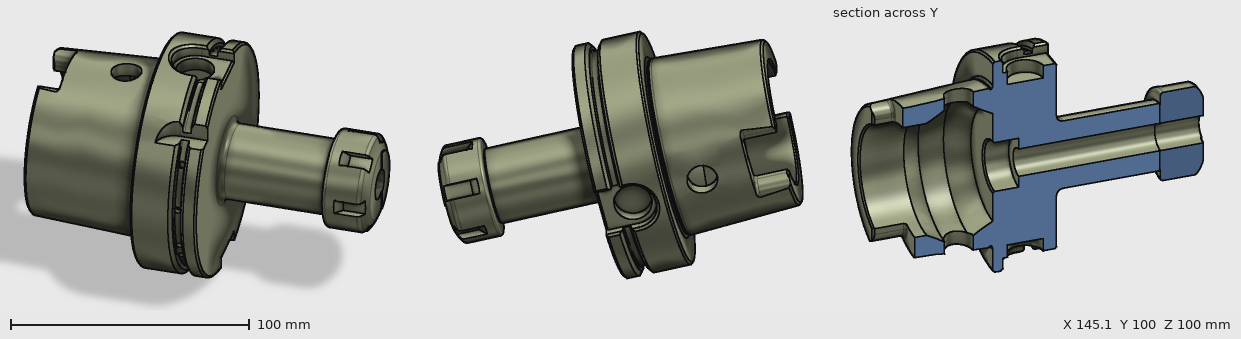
import cadquery as cq
import math

FLANGE_FACE_X = 50.0
FLANGE_BACK_X = 78.8
NUT_BACK_X = 125.2

TAPER_END_X = 47.5
TAPER_END_R = 37.9
TAPER_RATIO = 20.0
SHANK_CHAMFER = 1.0
RELIEF_START_X = 48.5
RELIEF_R = 37.3
RELIEF_BOTTOM_X = (48.9, 49.5)
FLANGE_RECESS_R = 38.9

BORE_R = 26.4
BORE_CHAMFER = 0.7
BORE_LIP_X = 20.3
CHAMBER_R = 31.2
CHAMBER_SHOULDER_ANGLE = math.radians(30.0)
CHAMBER_FLOOR_R = 25.4
CHAMBER_FLOOR_X = FLANGE_FACE_X
COOLANT_BORE_R = 11.5
COOLANT_BORE_DEPTH = 11.6
COOLANT_BORE_CHAMFER = 0.7
THROUGH_BORE_R = 6.4

CROSS_HOLE_X = 34.8
CROSS_HOLE_R = 6.4

END_SLOT_HALF_WIDTH = 9.9
END_SLOT_ROUND_R = 5.2
END_SLOT_ROUND_Z = 27.1
END_SLOT_FLOOR_FILLET = 1.3
END_SLOT_MOUTH_CHAMFER = (0.9, 1.3)
TOP_END_SLOT_DEPTH = 9.6
BOTTOM_END_SLOT_DEPTH = 15.0

FLANGE_R = 49.99
FLANGE_CHAMFER = 0.9

GROOVE_FLOOR_R = 46.1
GROOVE_WALL_X = (68.0, 71.7)
GROOVE_BEVEL_WIDTH = 1.5
GROOVE_BEVEL_DEPTH = 1.9
GROOVE_FLOOR_FILLET = 0.6

KEY_SLOT_HALF_WIDTH = 10.0
KEY_SLOT_CENTER_X = 64.7
KEY_SLOT_FLOOR_Z = 44.0
KEY_SLOT_CHAMFER = 1.2
KEY_SLOT_EXIT_CHAMFER = 0.9
KEY_POCKET_R = 8.0
KEY_POCKET_DEPTH = 5.8

NOTCH_OFFSET = 31.5
NOTCH_END_R = 8.7
NOTCH_END_CENTER_X = 66.6

GROOVE_HOLE_R = 1.5
GROOVE_HOLE_DEPTH = 2.9
GROOVE_HOLE_ANGLES = (30.0, 5.0, -20.0, -30.0)

NECK_R = 16.1
NECK_FILLET = 2.9
NECK_END_CHAMFER = 0.6

NUT_FACE_X = 144.7
NUT_END_X = 145.1
NUT_R = 21.0
NUT_BACK_ROUND = 1.5
NUT_FRONT_ROUND_X = 140.3
NUT_FRONT_ROUND_R = 2.2
NUT_FRONT_ROUND_ANGLE = math.radians(53.0)
NUT_FACE_R = 15.0
NUT_LIP_R = 14.7
NUT_LIP_START_Y = 3.0

WRENCH_SLOT_COUNT = 6
WRENCH_SLOT_WIDTH = 6.4
WRENCH_SLOT_FLOOR_R = 17.7
FRONT_SLOT_START_X = 130.6
REAR_SLOT_START_X = 128.7

CLEARANCE = 7.3


def revolve_about_x(profile):
    """Turn a closed XY outline into a solid of revolution about the X axis."""
    return profile.close().revolve(360, (0, 0, 0), (1, 0, 0))


def holder_blank():
    """Taper shank, relief, flange and neck as one turned solid, without the bores."""
    taper_start_r = TAPER_END_R - (TAPER_END_X - SHANK_CHAMFER) / TAPER_RATIO
    return revolve_about_x(
        cq.Workplane("XY")
        .lineTo(0, taper_start_r - SHANK_CHAMFER)
        .lineTo(SHANK_CHAMFER, taper_start_r)
        .lineTo(TAPER_END_X, TAPER_END_R)
        .lineTo(RELIEF_START_X, TAPER_END_R)
        .lineTo(RELIEF_BOTTOM_X[0], RELIEF_R)
        .lineTo(RELIEF_BOTTOM_X[1], RELIEF_R)
        .lineTo(FLANGE_FACE_X, FLANGE_RECESS_R)
        .lineTo(FLANGE_FACE_X, FLANGE_R - FLANGE_CHAMFER)
        .lineTo(FLANGE_FACE_X + FLANGE_CHAMFER, FLANGE_R)
        .lineTo(FLANGE_BACK_X - FLANGE_CHAMFER, FLANGE_R)
        .lineTo(FLANGE_BACK_X, FLANGE_R - FLANGE_CHAMFER)
        .lineTo(FLANGE_BACK_X, NECK_R + NECK_FILLET)
        .radiusArc((FLANGE_BACK_X + NECK_FILLET, NECK_R), -NECK_FILLET)
        .lineTo(NUT_BACK_X - NECK_END_CHAMFER, NECK_R)
        .lineTo(NUT_BACK_X, NECK_R - NECK_END_CHAMFER)
        .lineTo(NUT_BACK_X, 0)
    )


def holder_bore():
    """Chamber in the shank, coolant counterbore and the bore through the neck."""
    shoulder_slope = math.tan(CHAMBER_SHOULDER_ANGLE)
    coolant_floor_x = CHAMBER_FLOOR_X + COOLANT_BORE_DEPTH
    return revolve_about_x(
        cq.Workplane("XY")
        .lineTo(0, BORE_R + BORE_CHAMFER)
        .lineTo(BORE_CHAMFER, BORE_R)
        .lineTo(BORE_LIP_X, BORE_R)
        .lineTo(BORE_LIP_X + (CHAMBER_R - BORE_R) / shoulder_slope, CHAMBER_R)
        .lineTo(CHAMBER_FLOOR_X - (CHAMBER_R - CHAMBER_FLOOR_R) / shoulder_slope, CHAMBER_R)
        .lineTo(CHAMBER_FLOOR_X, CHAMBER_FLOOR_R)
        .lineTo(CHAMBER_FLOOR_X, COOLANT_BORE_R + COOLANT_BORE_CHAMFER)
        .lineTo(CHAMBER_FLOOR_X + COOLANT_BORE_CHAMFER, COOLANT_BORE_R)
        .lineTo(coolant_floor_x, COOLANT_BORE_R)
        .lineTo(coolant_floor_x, THROUGH_BORE_R)
        .lineTo(NUT_BACK_X, THROUGH_BORE_R)
        .lineTo(NUT_BACK_X, 0)
    )


def cross_hole():
    length = 2 * FLANGE_R
    return cq.Workplane("XY", origin=(CROSS_HOLE_X, 0, -FLANGE_R)).circle(CROSS_HOLE_R).extrude(length)


def end_slot(depth):
    """Cutter for a drive slot at +Z with outward-rounded walls and a chamfered mouth."""
    wall_y = END_SLOT_HALF_WIDTH
    shoulder_y = wall_y + END_SLOT_ROUND_R
    shoulder_z = END_SLOT_ROUND_Z + END_SLOT_ROUND_R
    bottom_z = BORE_R / 2
    top_z = TAPER_END_R + CLEARANCE
    side_y = shoulder_y + CLEARANCE
    slot = (
        cq.Workplane("YZ")
        .moveTo(-wall_y, bottom_z)
        .lineTo(-wall_y, END_SLOT_ROUND_Z)
        .radiusArc((-shoulder_y, shoulder_z), -END_SLOT_ROUND_R)
        .lineTo(-side_y, shoulder_z)
        .lineTo(-side_y, top_z)
        .lineTo(side_y, top_z)
        .lineTo(side_y, shoulder_z)
        .lineTo(shoulder_y, shoulder_z)
        .radiusArc((wall_y, END_SLOT_ROUND_Z), -END_SLOT_ROUND_R)
        .lineTo(wall_y, bottom_z)
        .close()
        .extrude(depth)
        .faces(">X")
        .edges()
        .fillet(END_SLOT_FLOOR_FILLET)
    )
    chamfer_length, chamfer_width = END_SLOT_MOUTH_CHAMFER
    mouth = (
        cq.Workplane("XY", origin=(0, 0, bottom_z))
        .moveTo(0, -wall_y - chamfer_width)
        .lineTo(chamfer_length, -wall_y)
        .lineTo(chamfer_length, wall_y)
        .lineTo(0, wall_y + chamfer_width)
        .close()
        .extrude(top_z - bottom_z)
    )
    return slot.union(mouth)


def key_slot():
    """Cutter for the round-ended key slot at +Z, open at the back of the flange."""
    height = FLANGE_R + CLEARANCE - KEY_SLOT_FLOOR_Z
    length = FLANGE_BACK_X - KEY_SLOT_CENTER_X + CLEARANCE
    base = cq.Workplane("XY", origin=(KEY_SLOT_CENTER_X, 0, KEY_SLOT_FLOOR_Z))
    straight = base.rect(length, 2 * KEY_SLOT_HALF_WIDTH).extrude(height).translate((length / 2, 0, 0))
    exit_chamfer = (
        cq.Workplane("XZ", origin=(0, KEY_SLOT_HALF_WIDTH, 0))
        .moveTo(FLANGE_BACK_X - KEY_SLOT_EXIT_CHAMFER, KEY_SLOT_FLOOR_Z)
        .lineTo(FLANGE_BACK_X, KEY_SLOT_FLOOR_Z)
        .lineTo(FLANGE_BACK_X, KEY_SLOT_FLOOR_Z - KEY_SLOT_EXIT_CHAMFER)
        .close()
        .extrude(2 * KEY_SLOT_HALF_WIDTH)
    )
    return base.circle(KEY_SLOT_HALF_WIDTH).extrude(height).union(straight).union(exit_chamfer)


def key_pocket():
    """Cutter for the blind round pocket in the key slot floor at +Z."""
    bottom_z = KEY_SLOT_FLOOR_Z - KEY_POCKET_DEPTH
    base = cq.Workplane("XY", origin=(KEY_SLOT_CENTER_X, 0, bottom_z))
    return base.circle(KEY_POCKET_R).extrude(KEY_POCKET_DEPTH)


def gripper_groove():
    """Ring-shaped cutter: filleted floor, straight walls and a bevel on each rim."""
    front_x, back_x = GROOVE_WALL_X
    fillet = GROOVE_FLOOR_FILLET
    bevel_r = FLANGE_R - GROOVE_BEVEL_DEPTH
    outer_r = FLANGE_R + CLEARANCE
    return revolve_about_x(
        cq.Workplane("XY")
        .moveTo(front_x + fillet, GROOVE_FLOOR_R)
        .radiusArc((front_x, GROOVE_FLOOR_R + fillet), fillet)
        .lineTo(front_x, bevel_r)
        .lineTo(front_x - GROOVE_BEVEL_WIDTH, FLANGE_R)
        .lineTo(front_x - GROOVE_BEVEL_WIDTH, outer_r)
        .lineTo(back_x + GROOVE_BEVEL_WIDTH, outer_r)
        .lineTo(back_x + GROOVE_BEVEL_WIDTH, FLANGE_R)
        .lineTo(back_x, bevel_r)
        .lineTo(back_x, GROOVE_FLOOR_R + fillet)
        .radiusArc((back_x - fillet, GROOVE_FLOOR_R), fillet)
    )


def orientation_notch():
    """Cutter with a flat floor and one flat side wall, ending in a round corner."""
    side_y = -NOTCH_OFFSET
    far_y = -FLANGE_R
    end_x = FLANGE_BACK_X + CLEARANCE
    return (
        cq.Workplane("XY", origin=(0, 0, NOTCH_OFFSET))
        .moveTo(NOTCH_END_CENTER_X, side_y)
        .lineTo(end_x, side_y)
        .lineTo(end_x, far_y)
        .lineTo(NOTCH_END_CENTER_X - NOTCH_END_R, far_y)
        .lineTo(NOTCH_END_CENTER_X - NOTCH_END_R, side_y - NOTCH_END_R)
        .radiusArc((NOTCH_END_CENTER_X, side_y), NOTCH_END_R)
        .close()
        .extrude(FLANGE_R - NOTCH_OFFSET)
    )


def groove_hole(angle):
    """Cutter for one radial hole in the groove floor, turned from -Y toward +Z."""
    center_x = sum(GROOVE_WALL_X) / 2
    outer_r = GROOVE_FLOOR_R + CLEARANCE / 10
    hole = (
        cq.Workplane("XZ", origin=(center_x, -GROOVE_FLOOR_R + GROOVE_HOLE_DEPTH, 0))
        .circle(GROOVE_HOLE_R)
        .extrude(outer_r - GROOVE_FLOOR_R + GROOVE_HOLE_DEPTH)
    )
    return hole.rotate((0, 0, 0), (1, 0, 0), -angle)


def turned_half_around(cutter):
    """The same cutter on the -Z side."""
    return cutter.rotate((0, 0, 0), (1, 0, 0), 180)


def key_slot_rim(side):
    """Box selector around the outer rim of the key slot on the given Z side."""
    low_z, high_z = sorted((side * (KEY_SLOT_FLOOR_Z + 1.5), side * (FLANGE_R + CLEARANCE)))
    half = KEY_SLOT_HALF_WIDTH + 0.1
    return cq.selectors.BoxSelector(
        (FLANGE_FACE_X + 1.5, -half, low_z), (FLANGE_BACK_X - 1.0, half, high_z)
    )


def make_holder():
    holder = holder_blank()
    for slot in (key_slot(), turned_half_around(key_slot())):
        holder = holder.cut(slot)
    for side in (1, -1):
        holder = holder.edges(key_slot_rim(side)).chamfer(KEY_SLOT_CHAMFER)
    for pocket in (key_pocket(), turned_half_around(key_pocket())):
        holder = holder.cut(pocket)
    holder = holder.cut(gripper_groove()).cut(orientation_notch())
    for angle in GROOVE_HOLE_ANGLES:
        holder = holder.cut(groove_hole(angle))
    holder = holder.cut(holder_bore()).cut(cross_hole())
    holder = holder.cut(end_slot(TOP_END_SLOT_DEPTH))
    return holder.cut(turned_half_around(end_slot(BOTTOM_END_SLOT_DEPTH)))


def nut_blank():
    """Turned nut body with a rounded back edge and a domed front."""
    round_end_x = NUT_FRONT_ROUND_X + NUT_FRONT_ROUND_R * math.sin(NUT_FRONT_ROUND_ANGLE)
    round_end_r = NUT_R - NUT_FRONT_ROUND_R * (1 - math.cos(NUT_FRONT_ROUND_ANGLE))
    return revolve_about_x(
        cq.Workplane("XY")
        .moveTo(NUT_BACK_X, THROUGH_BORE_R)
        .lineTo(NUT_BACK_X, NUT_R - NUT_BACK_ROUND)
        .radiusArc((NUT_BACK_X + NUT_BACK_ROUND, NUT_R), NUT_BACK_ROUND)
        .lineTo(NUT_FRONT_ROUND_X, NUT_R)
        .radiusArc((round_end_x, round_end_r), NUT_FRONT_ROUND_R)
        .tangentArcPoint((NUT_FACE_X, NUT_FACE_R), relative=False)
        .lineTo(NUT_FACE_X, THROUGH_BORE_R)
    )


def nut_lip():
    """Low segment-shaped lip on the +Y side of the nut face."""
    half_chord = math.sqrt(NUT_LIP_R**2 - NUT_LIP_START_Y**2)
    lip = (
        cq.Workplane("YZ", origin=(NUT_FACE_X, 0, 0))
        .moveTo(NUT_LIP_START_Y, -half_chord)
        .threePointArc((NUT_LIP_R, 0), (NUT_LIP_START_Y, half_chord))
        .close()
        .extrude(NUT_END_X - NUT_FACE_X)
    )
    bore = cq.Workplane("YZ", origin=(NUT_FACE_X, 0, 0)).circle(THROUGH_BORE_R).extrude(CLEARANCE)
    return lip.cut(bore)


def wrench_slot(start_x, angle):
    """Cutter with a sloped run-in, turned from -Y toward +Z."""
    depth = NUT_R - WRENCH_SLOT_FLOOR_R
    outer_r = NUT_R + CLEARANCE
    slot = (
        cq.Workplane("XY", origin=(0, 0, -WRENCH_SLOT_WIDTH / 2))
        .moveTo(start_x - CLEARANCE, -outer_r)
        .lineTo(start_x + depth, -WRENCH_SLOT_FLOOR_R)
        .lineTo(NUT_END_X + CLEARANCE, -WRENCH_SLOT_FLOOR_R)
        .lineTo(NUT_END_X + CLEARANCE, -outer_r)
        .close()
        .extrude(WRENCH_SLOT_WIDTH)
    )
    return slot.rotate((0, 0, 0), (1, 0, 0), -angle)


def make_nut():
    nut = nut_blank().union(nut_lip())
    for index in range(WRENCH_SLOT_COUNT):
        angle = index * 360 / WRENCH_SLOT_COUNT
        start_x = FRONT_SLOT_START_X if math.cos(math.radians(angle)) > 0 else REAR_SLOT_START_X
        nut = nut.cut(wrench_slot(start_x, angle))
    return nut


holder = make_holder()
nut = make_nut()
result = cq.Compound.makeCompound([holder.val(), nut.val()])